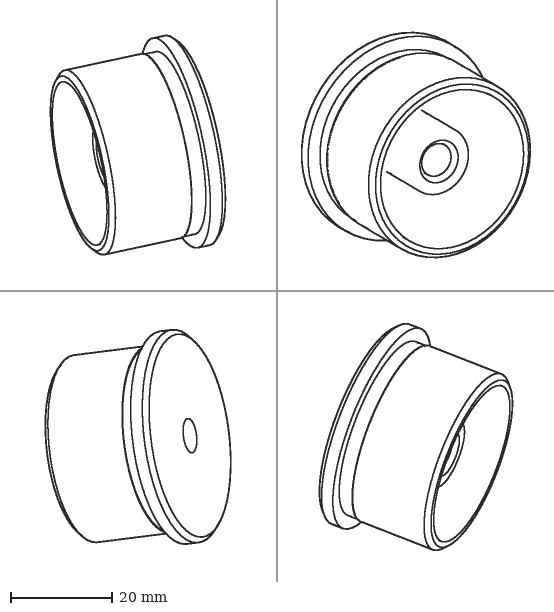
import cadquery as cq

flange_diameter = 42.4
flange_thickness = 3.5

total_length = 23.5
body_diameter = 37.3
relief_diameter = 36.9
relief_length = 2.95

cup_diameter = 33.0
floor_thickness = 3.5
boss_diameter = 14.0
boss_length = 18.5
boss_rounding = 0.5
floor_fillet = 2.0

bore_diameter = 6.8

edge_chamfer = 1.0


def cylinder(diameter, start, end):
    """Cylinder about the Y axis between two distances in front of the back face."""
    return cq.Workplane("XZ", origin=(0, -start, 0)).circle(diameter / 2).extrude(end - start)


relief_end = flange_thickness + relief_length
flange = cylinder(flange_diameter, 0, flange_thickness).faces(">Y").chamfer(edge_chamfer)
relief = cylinder(relief_diameter, flange_thickness, relief_end)
body = cylinder(body_diameter, relief_end, total_length).faces("<Y").chamfer(edge_chamfer)
outside = flange.union(relief).union(body)

cup = cylinder(cup_diameter, floor_thickness, total_length)
boss = cylinder(boss_diameter, floor_thickness, boss_length).faces("<Y").edges().fillet(boss_rounding)
cavity = cup.cut(boss).faces(">Y").edges().fillet(floor_fillet)

bore = cylinder(bore_diameter, 0, boss_length)
bore_radius = bore_diameter / 2
mouth = cq.Workplane(
    cq.Solid.makeCone(
        bore_radius + edge_chamfer,
        bore_radius,
        edge_chamfer,
        pnt=cq.Vector(0, -boss_length, 0),
        dir=cq.Vector(0, 1, 0),
    )
)

result = outside.cut(cavity).cut(bore).cut(mouth)